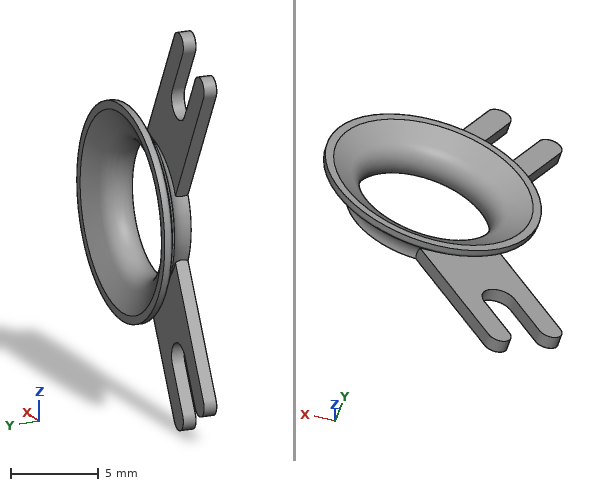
import cadquery as cq
import math

ring_depth = 2.5
rim_radius = 13.0 / 2
back_opening_radius = 12.0 / 2

mouth_radius = 4.18
throat_radius = 3.96
throat_depth = 0.67
flare_start_radius = 4.65
flare_start_depth = 1.83

neck_mouth_radius = 4.5
neck_waist_radius = 4.42
neck_waist_depth = 0.38
neck_end_radius = 5.26
neck_end_depth = 1.37
shoulder_bottom_radius = 5.5
shoulder_top_radius = 5.6
shoulder_bottom_depth = 1.47
shoulder_top_depth = 1.63
cone_end_radius = 6.32
cone_end_depth = 1.97
rim_band_depth = 2.19
rim_bulge_radius = 6.46
rim_bulge_depth = 2.07

arm_tilt = 60
arm_thickness = 0.8
arm_top = 12.02
slot_width = 2.1
prong_width = 1.45
slot_center = 9.0
prong_radius = prong_width / 2
prong_offset = (slot_width + prong_width) / 2
arm_width = slot_width + 2 * prong_width
tilt = math.radians(arm_tilt)
prong_center = (arm_top - prong_radius - prong_offset * math.cos(tilt)) / math.sin(tilt)


def solid_of_revolution(half_profile):
    """Turn a closed half profile around the Y axis."""
    return half_profile.close().revolve(360, (0, 0, 0), (0, 1, 0))


def outer_body():
    """Outside of the ring as a solid, without its opening."""
    return solid_of_revolution(
        cq.Workplane("XY")
        .lineTo(neck_mouth_radius, 0)
        .threePointArc((neck_waist_radius, neck_waist_depth), (neck_end_radius, neck_end_depth))
        .lineTo(shoulder_bottom_radius, shoulder_bottom_depth)
        .lineTo(shoulder_top_radius, shoulder_top_depth)
        .lineTo(cone_end_radius, cone_end_depth)
        .threePointArc((rim_bulge_radius, rim_bulge_depth), (rim_radius, rim_band_depth))
        .lineTo(rim_radius, ring_depth)
        .lineTo(0, ring_depth)
    )


def flared_opening():
    """Through opening that narrows to the throat and flares to the back."""
    return solid_of_revolution(
        cq.Workplane("XY")
        .lineTo(mouth_radius, 0)
        .threePointArc((throat_radius, throat_depth), (flare_start_radius, flare_start_depth))
        .lineTo(back_opening_radius, ring_depth)
        .lineTo(0, ring_depth)
    )


def forked_arm(angle):
    """Arm along +X with a round-bottomed slot, turned by angle about Y."""
    half_width = arm_width / 2
    half_slot = slot_width / 2
    tip = prong_center + prong_radius
    slot_bottom = slot_center - half_slot
    arm = (
        cq.Workplane("XZ")
        .moveTo(0, -half_width)
        .lineTo(prong_center, -half_width)
        .threePointArc((tip, -prong_offset), (prong_center, -half_slot))
        .lineTo(slot_center, -half_slot)
        .threePointArc((slot_bottom, 0), (slot_center, half_slot))
        .lineTo(prong_center, half_slot)
        .threePointArc((tip, prong_offset), (prong_center, half_width))
        .lineTo(0, half_width)
        .close()
        .extrude(-arm_thickness)
    )
    return arm.rotate((0, 0, 0), (0, 1, 0), angle)


upper_arm = forked_arm(180 + arm_tilt)
lower_arm = forked_arm(180 - arm_tilt)
result = outer_body().union(upper_arm).union(lower_arm).cut(flared_opening())